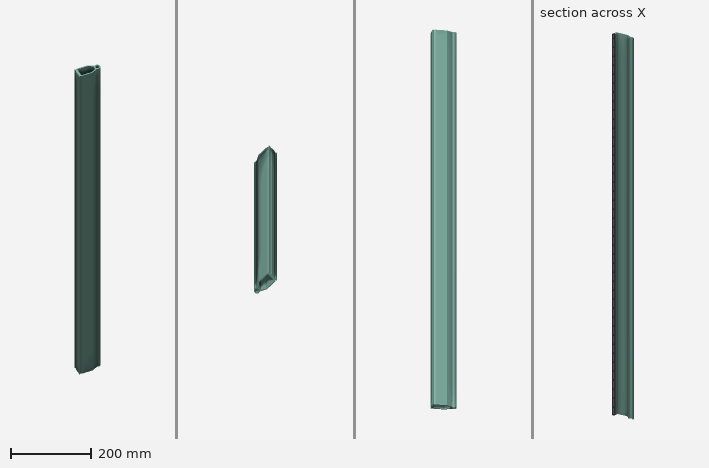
import cadquery as cq
import math

length = 1000.0
width = 30.0
depth = 64.0
wall = 3.0

bead_radius = 8.0
bead_bore_radius = 5.0

neck_half_width = 7.0
shoulder_length = 16.0
cavity_top_half_width = 5.0
floor_thickness = 7.0

side_groove_width = 5.0
side_groove_lower_flank = 2.0
side_groove_depth = 2.0
corner_radius = 1.5
front_lip = 2.0
front_groove_inner = 5.0
front_groove_outer = 10.0
front_groove_depth = 3.0

half_width = width / 2
front_y = -depth / 2
bead_y = depth / 2 - bead_radius
neck_y = bead_y - math.sqrt(bead_radius**2 - neck_half_width**2)
shoulder_y = neck_y - shoulder_length


def prism(points):
    """Extrude a closed XY outline over the full length."""
    return cq.Workplane("XY").polyline(points).close().extrude(length)


def mirrored_outline(right_side):
    """Complete a right-hand outline with its mirror image in X."""
    return right_side + [(-x, y) for x, y in reversed(right_side)]


def bead_cylinder(radius):
    return cq.Workplane("XY").center(0, bead_y).circle(radius).extrude(length)


def make_body():
    outline = mirrored_outline([
        (half_width, front_y),
        (half_width, shoulder_y),
        (neck_half_width, neck_y),
    ])
    return prism(outline).faces("<Y").edges("|Z").fillet(corner_radius)


def make_cavity():
    inner_half_width = half_width - wall
    top_y = bead_y - bead_radius
    return prism(mirrored_outline([
        (inner_half_width, front_y + floor_thickness),
        (inner_half_width, shoulder_y),
        (cavity_top_half_width, top_y),
    ]))


def make_side_groove(side):
    lower_y = front_y + front_lip
    return prism([
        (side * half_width, lower_y),
        (side * half_width, lower_y + side_groove_width),
        (side * (half_width - side_groove_depth), lower_y + side_groove_lower_flank),
    ])


def make_front_groove(side):
    return prism([
        (side * front_groove_inner, front_y),
        (side * front_groove_outer, front_y),
        (side * front_groove_outer, front_y + front_groove_depth),
    ])


result = make_body().union(bead_cylinder(bead_radius))
result = result.cut(make_cavity()).cut(bead_cylinder(bead_bore_radius))
for side in (-1, 1):
    result = result.cut(make_side_groove(side)).cut(make_front_groove(side))